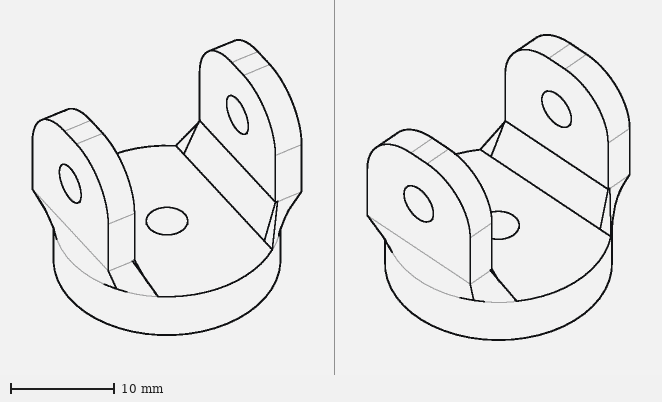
import cadquery as cq
import math

base_diameter = 22.0
base_radius = base_diameter / 2
base_height = 5.0
hole_diameter = 4.0

ear_width = 14.0
ear_thickness = 3.0
ear_bottom = 9.0
ear_top = 21.0
ear_corner_radius = 5.9
ear_hole_height = 15.0

segment_offset = 6.5
neck_inner_split_x = 7.41
neck_outer_split_x = 5.83
ear_side_split = 0.25


def make_base():
    return cq.Workplane("XY").circle(base_radius).extrude(base_height)


def make_ear():
    """Plate on the -Y side with two rounded top corners."""
    return (
        cq.Workplane("XY", origin=(0, -base_radius + ear_thickness / 2, ear_bottom))
        .rect(ear_width, ear_thickness)
        .extrude(ear_top - ear_bottom)
        .edges("|Y and >Z")
        .fillet(ear_corner_radius)
    )


def on_rim(angle):
    """Point of the base circle at an angle measured from -Y toward +X."""
    return (base_radius * math.sin(angle), -base_radius * math.cos(angle))


def make_neck():
    """Loft on the -Y side from a circular segment of the base to the foot of the ear.

    Both sections have six matching corners, so each pair of edges becomes one face.
    """
    chord_end = math.acos(segment_offset / base_radius)
    outer_split = math.asin(neck_outer_split_x / base_radius)
    side_middle = (chord_end + outer_split) / 2
    half_ear = ear_width / 2
    ear_inner_y = -base_radius + ear_thickness
    ear_split_y = ear_inner_y - ear_side_split
    return (
        cq.Workplane("XY", origin=(0, 0, base_height))
        .moveTo(-neck_inner_split_x, -segment_offset)
        .lineTo(*on_rim(-chord_end))
        .threePointArc(on_rim(-side_middle), on_rim(-outer_split))
        .threePointArc(on_rim(0), on_rim(outer_split))
        .threePointArc(on_rim(side_middle), on_rim(chord_end))
        .lineTo(neck_inner_split_x, -segment_offset)
        .close()
        .workplane(offset=ear_bottom - base_height)
        .moveTo(-half_ear, ear_inner_y)
        .lineTo(-half_ear, ear_split_y)
        .lineTo(-half_ear, -base_radius)
        .lineTo(half_ear, -base_radius)
        .lineTo(half_ear, ear_split_y)
        .lineTo(half_ear, ear_inner_y)
        .close()
        .loft(ruled=True)
    )


base_hole = cq.Workplane("XY").circle(hole_diameter / 2).extrude(base_height)

pin_hole = (
    cq.Workplane("XZ", origin=(0, 0, ear_hole_height))
    .circle(hole_diameter / 2)
    .extrude(base_radius, both=True)
)

arm = make_neck().union(make_ear())
opposite_arm = arm.rotate((0, 0, 0), (0, 0, 1), 180)
result = make_base().union(arm).union(opposite_arm).cut(base_hole).cut(pin_hole)